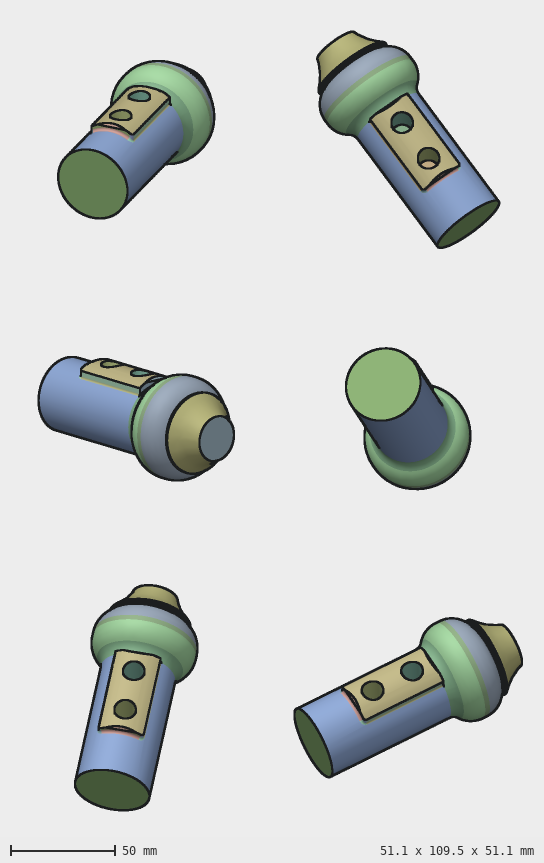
import cadquery as cq
import math

total_length = 109.5
shaft_radius = 18.3
shoulder_y = 65.9

ball_diameter = 51.1
ball_radius = ball_diameter / 2
band_start_y = 80.8
band_end_y = 83.3
flare_join_y = 71.5
flare_join_radius = 21.0
neck_y = 94.6
neck_radius = 17.4

collar_start_y = 94.8
collar_end_y = 96.1
collar_radius = 19.9
collar_edge_chamfer = 0.4
tip_radius = 11.1
bell_middle_y = 102.2
bell_middle_radius = 14.7
bell_collar_direction = (-1, 1)
bell_end_direction = (-0.3, 1)

pad_start_y = 21.9
pad_width = 22.1
pad_top_z = 21.9
pad_corner_radius = 1.3
pad_base_fillet = 1.3
end_bevel_length = 1.1
end_bevel_drop = 1.5

hole_diameter = 10.4
hole_positions_y = (32.9, 54.8)
hole_floor_z = 0.0


def make_shaft():
    profile = (
        cq.Workplane("XY")
        .lineTo(shaft_radius, 0)
        .lineTo(shaft_radius, shoulder_y)
        .tangentArcPoint((flare_join_radius, flare_join_y), relative=False)
        .lineTo(0, flare_join_y)
        .close()
    )
    return profile.revolve(360, (0, 0, 0), (0, 1, 0))


def make_head():
    rear_flank = flank_midpoint(flare_join_y - band_start_y, flare_join_radius, band_start_y)
    front_flank = flank_midpoint(neck_y - band_end_y, neck_radius, band_end_y)
    return (
        cq.Workplane("XY")
        .moveTo(0, flare_join_y)
        .lineTo(flare_join_radius, flare_join_y)
        .threePointArc(rear_flank, (ball_radius, band_start_y))
        .lineTo(ball_radius, band_end_y)
        .threePointArc(front_flank, (neck_radius, neck_y))
        .lineTo(neck_radius, collar_start_y)
        .lineTo(collar_radius - collar_edge_chamfer, collar_start_y)
        .lineTo(collar_radius, collar_start_y + collar_edge_chamfer)
        .lineTo(collar_radius, collar_end_y)
        .spline(
            [(bell_middle_radius, bell_middle_y), (tip_radius, total_length)],
            tangents=[bell_collar_direction, bell_end_direction],
            includeCurrent=True,
        )
        .lineTo(0, total_length)
        .close()
        .revolve(360, (0, 0, 0), (0, 1, 0))
    )


def flank_midpoint(run, end_radius, band_edge_y):
    """Midpoint of the arc that leaves the band tangentially and ends at end_radius."""
    drop = ball_radius - end_radius
    arc_radius = (run**2 + drop**2) / (2 * drop)
    half_angle = math.asin(abs(run) / arc_radius) / 2
    radius = ball_radius - arc_radius * (1 - math.cos(half_angle))
    y = band_edge_y + math.copysign(arc_radius * math.sin(half_angle), run)
    return radius, y


def make_pad():
    length = shoulder_y - pad_start_y
    block = (
        cq.Workplane("XY")
        .center(0, pad_start_y + length / 2)
        .rect(pad_width, length)
        .extrude(pad_top_z)
        .edges("|Z and <Y")
        .fillet(pad_corner_radius)
    )
    bevel_z = pad_top_z - end_bevel_drop
    side_outline = (
        cq.Workplane("YZ")
        .moveTo(pad_start_y, 0)
        .lineTo(pad_start_y, bevel_z)
        .lineTo(pad_start_y + end_bevel_length, pad_top_z)
        .lineTo(shoulder_y - end_bevel_length, pad_top_z)
        .lineTo(shoulder_y, bevel_z)
        .lineTo(shoulder_y, 0)
        .close()
        .extrude(pad_width / 2, both=True)
    )
    crown = (
        cq.Workplane("XZ")
        .center(0, pad_top_z - shaft_radius)
        .circle(shaft_radius)
        .extrude(-total_length)
    )
    return block.intersect(side_outline).intersect(crown)


def make_holes():
    return (
        cq.Workplane("XY", origin=(0, 0, hole_floor_z))
        .pushPoints([(0, y) for y in hole_positions_y])
        .circle(hole_diameter / 2)
        .extrude(pad_top_z - hole_floor_z)
    )


def fillet_pad_base(part):
    """Round the junction of the pad's sides and front end with the shaft."""
    margin = 1.1
    around_pad = cq.selectors.BoxSelector(
        (-pad_width, pad_start_y - margin, 0),
        (pad_width, shoulder_y - margin, pad_top_z),
    )
    return part.edges(around_pad).filter(lies_on_shaft).fillet(pad_base_fillet)


def lies_on_shaft(edge):
    """Whether a point partway along the edge sits at the shaft radius."""
    tolerance = 0.01
    sample_fraction = 0.3
    point = edge.positionAt(sample_fraction)
    return abs(math.hypot(point.x, point.z) - shaft_radius) < tolerance


shaft_with_pad = fillet_pad_base(make_shaft().union(make_pad()))
result = shaft_with_pad.union(make_head()).cut(make_holes())